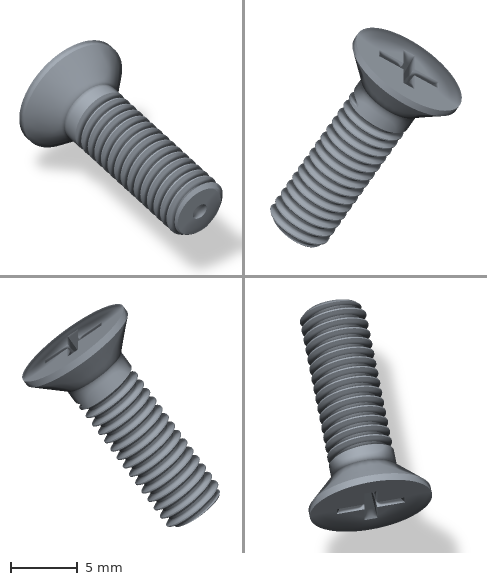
import cadquery as cq

length = 16.0
head_radius = 9.3 / 2
rim_thickness = 0.55
shank_diameter = 5.0
shank_radius = shank_diameter / 2
cone_end = rim_thickness + head_radius - shank_radius
tip_chamfer = 0.42

pitch = 0.8
thread_depth = 0.5
groove_mouth = pitch * 7 / 8
groove_root = pitch / 4
thread_start = 4.1
thread_start_angle = 33.0
runout_radius = 3.0
runout_angle = 65.0
root_radius = shank_radius - thread_depth
cutter_overlap = 0.05

recess_span = 5.2
recess_width = 0.96
recess_floor_span = 1.62
recess_floor_width = 0.46
recess_depth = 2.56
bore_diameter = 1.31


def turn(outline):
    """Body of revolution about the X axis."""
    return cq.Workplane("XZ").polyline(outline).close().revolve(360, (0, 0, 0), (1, 0, 0))


def make_blank():
    """Countersunk head and plain shank, as one turned body."""
    outline = [
        (0, 0),
        (0, -head_radius),
        (rim_thickness, -head_radius),
        (cone_end, -shank_radius),
        (length, -shank_radius),
        (length, 0),
    ]
    return turn(outline)


def make_tip_chamfer():
    """Ring that bevels the thread crests at the tip by 45 degrees."""
    clearance = 0.16
    outline = [
        (length - tip_chamfer, -shank_radius),
        (length + clearance, tip_chamfer + clearance - shank_radius),
        (length + clearance, -shank_radius - clearance),
        (length - tip_chamfer, -shank_radius - clearance),
    ]
    return turn(outline)


def sweep_groove(path_radius, run):
    """Trapezoidal groove along a helix about Z, starting on the +X side."""
    helix = cq.Wire.makeHelix(pitch, run, path_radius)
    flank_slope = (groove_mouth - groove_root) / 2 / thread_depth
    half_mouth = groove_mouth / 2 + flank_slope * cutter_overlap
    half_root = groove_root / 2
    outer_radius = path_radius + thread_depth + cutter_overlap
    return (
        cq.Workplane("XZ")
        .polyline([
            (path_radius, half_root),
            (outer_radius, half_mouth),
            (outer_radius, -half_mouth),
            (path_radius, -half_root),
        ])
        .close()
        .sweep(cq.Workplane(obj=helix), isFrenet=True)
    )


def place_on_shank(groove):
    """Turn the groove axis from Z to X and move its start onto the shank."""
    return (
        groove.rotate((0, 0, 0), (0, 1, 0), 90)
        .rotate((0, 0, 0), (1, 0, 0), 90 + thread_start_angle)
        .translate((thread_start, 0, 0))
    )


def make_thread_groove():
    """Full-depth groove that runs out through the tip of the shank."""
    return place_on_shank(sweep_groove(root_radius, length + pitch - thread_start))


def make_thread_runout():
    """Wider arc, tangent to the start of the thread, that fades it out towards the head."""
    run = pitch * runout_angle / 360
    groove = (
        sweep_groove(runout_radius, run)
        .rotate((0, 0, 0), (0, 0, 1), -runout_angle)
        .translate((root_radius - runout_radius, 0, -run))
    )
    return place_on_shank(groove)


def make_recess_arm():
    """One bar of the cross, tapering from its mouth to its floor."""
    return (
        cq.Workplane("YZ")
        .rect(recess_span, recess_width)
        .workplane(offset=recess_depth)
        .rect(recess_floor_span, recess_floor_width)
        .loft(ruled=True)
    )


def make_recess():
    """Cross recess made of two identical bars at right angles."""
    arm = make_recess_arm()
    return arm.union(arm.rotate((0, 0, 0), (1, 0, 0), 90))


bore = cq.Workplane("YZ").circle(bore_diameter / 2).extrude(length)

result = (
    make_blank()
    .cut(make_thread_groove())
    .cut(make_tip_chamfer())
    .cut(make_thread_runout())
    .cut(make_recess())
    .cut(bore)
)